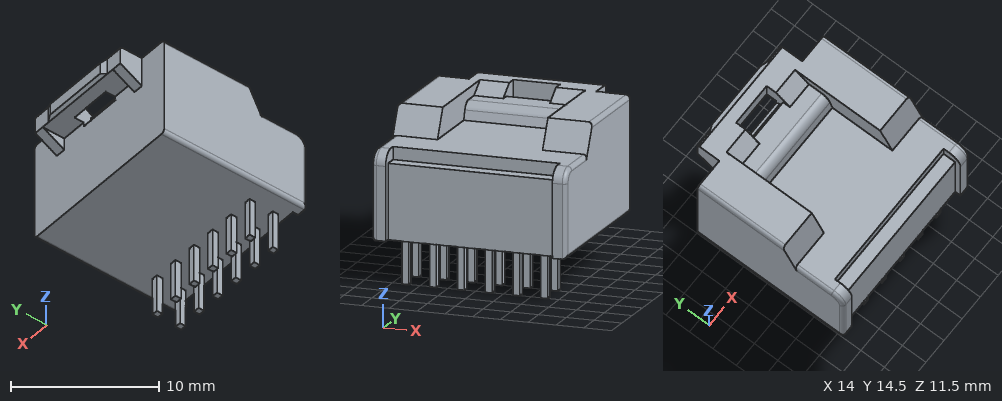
import cadquery as cq
import math


width = 14.0
body_depth = 12.4
body_height = 8.3
shelf_height = 6.3
shoulder_foot_y = 4.09
shoulder_crest_y = 5.13
front_radius = 1.0
side_radius = 0.3

panel_width = 12.0
panel_setback = 0.45
panel_ledge_depth = 1.44
panel_height = 5.38

recess_width = 7.57
ramp_foot_y = 9.21
ramp_height = 7.5
ramp_angle = 72.0
ramp_radius = 0.75
bevel_foot_y = 11.21

latch_width = 9.18
latch_rear_y = 14.27
latch_underside = 6.79
latch_edge_drop = 0.13
latch_edge_run = 0.17
gusset_bottom = 5.77

pad_rear_y = 14.5
pad_base_width = 6.38
pad_base_top = body_height - latch_edge_drop
pad_tip_width = 5.4
pad_inset = 0.23
pad_slope = latch_edge_drop / latch_edge_run
pad_top_inset = (pad_rear_y - latch_rear_y) * pad_slope

window_width = 3.36
window_rear_y = 13.2
lip_y = 11.79
sill_chamfer = 0.33

pin_size = 0.5
pin_length = 3.2
pin_pitch = 2.0
pins_per_row = 6
first_row_y = 1.35
row_count = 2
pin_embed = 0.29


def extrude_side_profile(profile, thickness):
    """Extrude a closed (Y, Z) wire along X, centred on the mirror plane."""
    return profile.extrude(thickness / 2, both=True)


def side_polygon(points, thickness):
    return extrude_side_profile(cq.Workplane("YZ").polyline(points).close(), thickness)


def make_housing():
    arc_offset = front_radius * (1 - math.sqrt(0.5))
    profile = (
        cq.Workplane("YZ")
        .moveTo(0, 0)
        .lineTo(0, shelf_height - front_radius)
        .threePointArc((arc_offset, shelf_height - arc_offset), (front_radius, shelf_height))
        .lineTo(shoulder_foot_y, shelf_height)
        .lineTo(shoulder_crest_y, body_height)
        .lineTo(body_depth, body_height)
        .lineTo(body_depth, 0)
        .close()
    )
    block = extrude_side_profile(profile, width)

    def is_rounded(edge):
        middle_y = edge.Center().y
        on_slope = shoulder_foot_y < middle_y < shoulder_crest_y and edge.Center().z > shelf_height
        on_rear = math.isclose(middle_y, body_depth)
        return not on_slope and not on_rear

    side_edges = block.faces("<X or >X").edges().vals()
    rounded_edges = [edge for edge in side_edges if is_rounded(edge)]
    return block.newObject(rounded_edges).fillet(side_radius)


def make_panel_cut():
    """Step of the front panel: shallow over its whole height, deeper above its top edge."""
    return side_polygon(
        [
            (0, 0),
            (panel_setback, 0),
            (panel_setback, panel_height),
            (panel_ledge_depth, panel_height),
            (panel_ledge_depth, shelf_height),
            (0, shelf_height),
        ],
        panel_width,
    )


def make_recess_cut():
    """Space between the shoulders, ending in the rounded ramp and the rear bevel."""
    ramp_rise = ramp_height - shelf_height
    ramp_corner_y = ramp_foot_y + ramp_rise / math.tan(math.radians(ramp_angle))
    cut = side_polygon(
        [
            (shoulder_foot_y, shelf_height),
            (ramp_foot_y, shelf_height),
            (ramp_corner_y, ramp_height),
            (bevel_foot_y, ramp_height),
            (body_depth, body_height),
            (shoulder_foot_y, body_height),
        ],
        recess_width,
    )
    ramp_corner = cq.selectors.NearestToPointSelector((0, ramp_corner_y, ramp_height))
    return cut.edges("|X").edges(ramp_corner).fillet(ramp_radius)


def make_latch():
    """Latch bar carried by a gusset at each end."""
    gusseted_bar = side_polygon(
        [
            (body_depth, gusset_bottom),
            (latch_rear_y, latch_underside),
            (latch_rear_y, body_height - latch_edge_drop),
            (latch_rear_y - latch_edge_run, body_height),
            (body_depth, body_height),
        ],
        latch_width,
    )
    gusset_gap = side_polygon(
        [
            (body_depth, gusset_bottom),
            (latch_rear_y, latch_underside),
            (body_depth, latch_underside),
        ],
        recess_width,
    )
    return gusseted_bar.cut(gusset_gap)


def make_pad():
    """Tapered pad; its sides close in towards the rear."""
    base_height = pad_base_top - latch_underside
    tip_height = base_height - pad_inset - pad_top_inset
    tip_shift = (pad_inset - pad_top_inset) / 2
    return (
        cq.Workplane("XZ", origin=(0, latch_rear_y, latch_underside + base_height / 2))
        .rect(pad_base_width, base_height)
        .workplane(offset=latch_rear_y - pad_rear_y)
        .center(0, tip_shift)
        .rect(pad_tip_width, tip_height)
        .loft(combine=True)
    )


def make_window_cut():
    """Opening through the latch bar, with a chamfered sill on the housing's rear edge."""
    return side_polygon(
        [
            (lip_y, latch_underside),
            (body_depth - sill_chamfer, latch_underside),
            (body_depth, latch_underside - sill_chamfer),
            (window_rear_y, latch_underside - sill_chamfer),
            (window_rear_y, body_height),
            (lip_y, body_height),
        ],
        window_width,
    )


def make_bevel_gap():
    """Lets the window run forward through the rear bevel, level with the ramp's flat top."""
    return side_polygon(
        [
            (bevel_foot_y, ramp_height),
            (lip_y, ramp_height),
            (lip_y, body_height),
            (bevel_foot_y, body_height),
        ],
        window_width,
    )


def make_pins():
    last_row_y = first_row_y + (row_count - 1) * pin_pitch
    return (
        cq.Workplane("XY", origin=(0, (first_row_y + last_row_y) / 2, -pin_length))
        .rarray(pin_pitch, pin_pitch, pins_per_row, row_count)
        .rect(pin_size, pin_size)
        .extrude(pin_length + pin_embed)
    )


result = (
    make_housing()
    .cut(make_panel_cut())
    .cut(make_recess_cut())
    .union(make_latch())
    .union(make_pad())
    .cut(make_window_cut())
    .cut(make_bevel_gap())
    .union(make_pins())
)